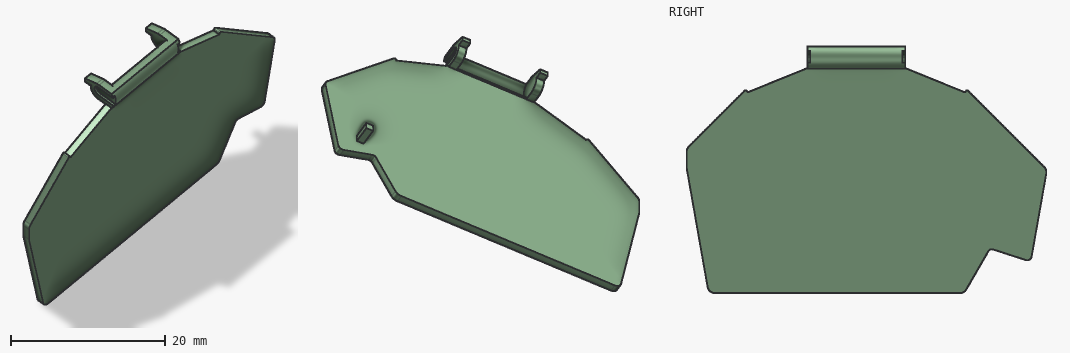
import cadquery as cq
import math

PLATE_THICKNESS = 1.05
OVERALL_HEIGHT = 32.05
CLIP_HEIGHT = 2.95
PLATE_TOP = OVERALL_HEIGHT - CLIP_HEIGHT
SLOPE_OVERLAP = 0.13
SLOPE_TOP = PLATE_TOP + SLOPE_OVERLAP

SIDE_LEAN = math.radians(10)
RIGHT_SIDE_Y = -22.03
RIGHT_SIDE_BOTTOM = 16.25
SHOULDER_Z = 26.08
SHOULDER_Y = 14.1
STEP_WIDTH = 0.25
STEP_HEIGHT = 0.35
LEFT_SIDE_Y = 24.75
BOTTOM_LEFT_Y = 14.0
NOTCH_Z = 5.8
NOTCH_LEAN = math.radians(30)
NOTCH_SLOPE = math.radians(18)

CORNER_RADIUS = 1.0
FOOT_RADIUS = 0.6
NOTCH_RADIUS = 0.5
PEAK_RADIUS = 0.15

CLIP_WIDTH = 12.7
PRONG_WIDTH = 1.15
PRONG_RADIUS = CLIP_HEIGHT / 2
NOSE_CENTRE_X = -1.22
NOSE_CENTRE_Z = OVERALL_HEIGHT - PRONG_RADIUS
BACK_BULGE = 0.39
TIP_X = -3.68
TIP_UNDERSIDE_DROP = 1.38
TIP_UNDERSIDE_Z = OVERALL_HEIGHT - TIP_UNDERSIDE_DROP
TIP_SLOPE = math.radians(17.5)
HOLLOW_DEPTH_X = 0.73
HOLLOW_LIP_X = -0.28

RECESS_DEPTH = 0.39
RECESS_RADIUS = 0.77
RECESS_RISE = 0.1
RECESS_CENTRE_Z = NOSE_CENTRE_Z + RECESS_RISE

PEG_SIZE = 1.0
PEG_LENGTH = 2.57
PEG_Y = 19.52
PEG_Z = 7.6


def plate():
    half_clip = CLIP_WIDTH / 2
    left_peak = (SHOULDER_Y + STEP_WIDTH, SHOULDER_Z + STEP_HEIGHT)
    right_peak = (-left_peak[0], left_peak[1])

    right_top = (RIGHT_SIDE_Y, right_peak[1] - (right_peak[0] - RIGHT_SIDE_Y))
    right_bottom = (RIGHT_SIDE_Y + RIGHT_SIDE_BOTTOM * math.tan(SIDE_LEAN), 0)
    left_side = (LEFT_SIDE_Y, left_peak[1] - (LEFT_SIDE_Y - left_peak[0]))
    left_bottom = (BOTTOM_LEFT_Y, 0)
    notch = (BOTTOM_LEFT_Y + NOTCH_Z * math.tan(NOTCH_LEAN), NOTCH_Z)

    lean = math.tan(SIDE_LEAN)
    slope = math.tan(NOTCH_SLOPE)
    run = (left_side[0] - notch[0] - (left_side[1] - NOTCH_Z) * lean) / (1 + slope * lean)
    foot = (notch[0] + run, NOTCH_Z - run * slope)

    outline = [
        (half_clip, PLATE_TOP),
        (half_clip, SLOPE_TOP),
        (SHOULDER_Y, SHOULDER_Z),
        left_peak,
        left_side,
        foot,
        notch,
        left_bottom,
        right_bottom,
        (RIGHT_SIDE_Y, RIGHT_SIDE_BOTTOM),
        right_top,
        right_peak,
        (-SHOULDER_Y, SHOULDER_Z),
        (-half_clip, SLOPE_TOP),
        (-half_clip, PLATE_TOP),
    ]
    body = cq.Workplane("YZ").polyline(outline).close().extrude(PLATE_THICKNESS)

    rounded_corners = [
        (left_side, CORNER_RADIUS),
        (left_bottom, CORNER_RADIUS),
        (right_bottom, CORNER_RADIUS),
        (right_top, CORNER_RADIUS),
        (foot, FOOT_RADIUS),
        (notch, NOTCH_RADIUS),
        (left_peak, PEAK_RADIUS),
        (right_peak, PEAK_RADIUS),
    ]
    for (y, z), radius in rounded_corners:
        corner = (PLATE_THICKNESS / 2, y, z)
        body = body.edges(cq.NearestToPointSelector(corner)).fillet(radius)
    return body


def nose_point(angle):
    """Point on the round prong nose, angle measured from +X towards +Z."""
    return (
        NOSE_CENTRE_X + PRONG_RADIUS * math.cos(angle),
        NOSE_CENTRE_Z + PRONG_RADIUS * math.sin(angle),
    )


def slab(sketch, y_start, y_end):
    """Extrude an XZ outline from y_start to y_end."""
    return sketch.extrude(y_start - y_end).translate((0, y_start, 0))


def clip():
    half_width = CLIP_WIDTH / 2
    opening_half = half_width - PRONG_WIDTH

    slope_start_angle = math.pi / 2 + TIP_SLOPE
    slope_start = nose_point(slope_start_angle)
    tip_top_z = slope_start[1] - (slope_start[0] - TIP_X) * math.tan(TIP_SLOPE)
    underside_angle = math.pi - math.asin((TIP_UNDERSIDE_Z - NOSE_CENTRE_Z) / PRONG_RADIUS)
    nose_lower_angle = math.radians(225)
    back_middle = (PLATE_THICKNESS + BACK_BULGE, NOSE_CENTRE_Z)

    profile = (
        cq.Workplane("XZ")
        .moveTo(NOSE_CENTRE_X, OVERALL_HEIGHT)
        .lineTo(PLATE_THICKNESS, OVERALL_HEIGHT)
        .threePointArc(back_middle, (PLATE_THICKNESS, PLATE_TOP))
        .lineTo(NOSE_CENTRE_X, PLATE_TOP)
        .threePointArc(nose_point(nose_lower_angle), nose_point(underside_angle))
        .lineTo(TIP_X, TIP_UNDERSIDE_Z)
        .lineTo(TIP_X, tip_top_z)
        .lineTo(*slope_start)
        .threePointArc(nose_point(math.pi / 2 + TIP_SLOPE / 2), (NOSE_CENTRE_X, OVERALL_HEIGHT))
        .close()
    )
    body = slab(profile, -half_width, half_width)

    opening = (
        cq.Workplane("XZ")
        .moveTo(TIP_X, OVERALL_HEIGHT)
        .lineTo(0, OVERALL_HEIGHT)
        .threePointArc((HOLLOW_DEPTH_X, NOSE_CENTRE_Z), (HOLLOW_LIP_X, PLATE_TOP))
        .lineTo(TIP_X, PLATE_TOP)
        .close()
    )
    body = body.cut(slab(opening, -opening_half, opening_half))
    return body.cut(end_recesses())


def end_recesses():
    """Round-ended recesses in both clip end faces, open towards the back."""
    half_width = CLIP_WIDTH / 2
    recess_open_x = PLATE_THICKNESS + 2 * BACK_BULGE
    outline = (
        cq.Workplane("XZ")
        .moveTo(recess_open_x, RECESS_CENTRE_Z + RECESS_RADIUS)
        .lineTo(NOSE_CENTRE_X, RECESS_CENTRE_Z + RECESS_RADIUS)
        .threePointArc(
            (NOSE_CENTRE_X - RECESS_RADIUS, RECESS_CENTRE_Z),
            (NOSE_CENTRE_X, RECESS_CENTRE_Z - RECESS_RADIUS),
        )
        .lineTo(recess_open_x, RECESS_CENTRE_Z - RECESS_RADIUS)
        .close()
    )
    right_recess = slab(outline, -half_width, -half_width + RECESS_DEPTH)
    left_recess = right_recess.mirror("XZ")
    return right_recess.union(left_recess)


def peg():
    return cq.Workplane("YZ").center(PEG_Y, PEG_Z).rect(PEG_SIZE, PEG_SIZE).extrude(-PEG_LENGTH)


result = plate().union(clip()).union(peg())